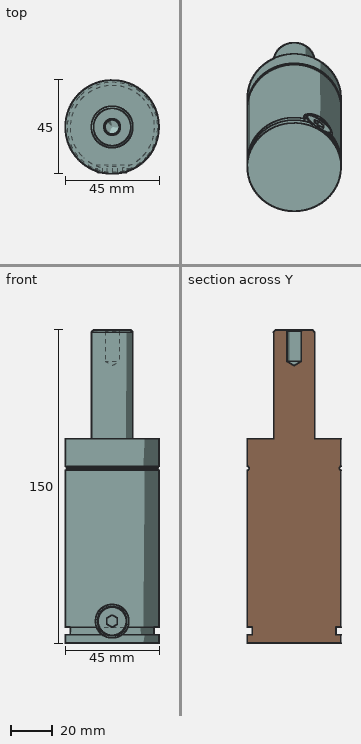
import cadquery as cq
import math

total_height = 150.0
body_radius = 22.5
body_height = 98.0

base_groove_bottom = 4.0
base_groove_top = 7.6
base_groove_radius = 20.1

head_groove_bottom = 82.6
head_groove_top = 84.8
head_groove_depth = 0.9

rod_radius = 20.0 / 2
rod_chamfer = 1.0
hole_radius = 6.8 / 2
hole_mouth_radius = 8.0 / 2
hole_depth = 15.0
drill_point_angle = 118.0

plug_height = 10.5
plug_radius = 7.0
plug_chamfer = 0.3
plug_face_offset = 21.9
plug_recess_radius = 16.0 / 2
plug_recess_floor = 18.0
plug_root_offset = 15.0
hex_across_flats = 5.1
hex_depth = 3.0


def front_plane(distance):
    """Plane facing -Y, centred on the plug axis, at a distance from the body axis."""
    return cq.Workplane("XZ", origin=(0, -distance, plug_height))


def make_body_and_rod():
    head_groove_radius = body_radius - head_groove_depth
    profile = [
        (0, 0),
        (body_radius, 0),
        (body_radius, base_groove_bottom),
        (base_groove_radius, base_groove_bottom),
        (base_groove_radius, base_groove_top),
        (body_radius, base_groove_top),
        (body_radius, head_groove_bottom),
        (head_groove_radius, head_groove_bottom + head_groove_depth),
        (head_groove_radius, head_groove_top - head_groove_depth),
        (body_radius, head_groove_top),
        (body_radius, body_height),
        (rod_radius, body_height),
        (rod_radius, total_height - rod_chamfer),
        (rod_radius - rod_chamfer, total_height),
        (0, total_height),
    ]
    return cq.Workplane("XZ").polyline(profile).close().revolve(360, (0, 0), (0, 1))


def make_rod_hole():
    mouth_depth = hole_mouth_radius - hole_radius
    point_length = hole_radius / math.tan(math.radians(drill_point_angle / 2))
    shoulder = total_height - hole_depth
    profile = [
        (0, total_height),
        (hole_mouth_radius, total_height),
        (hole_radius, total_height - mouth_depth),
        (hole_radius, shoulder),
        (0, shoulder - point_length),
    ]
    return cq.Workplane("XZ").polyline(profile).close().revolve(360, (0, 0), (0, 1))


def make_plug_recess():
    return front_plane(plug_recess_floor).circle(plug_recess_radius).extrude(body_radius - plug_recess_floor)


def make_plug():
    plug = front_plane(plug_root_offset).circle(plug_radius).extrude(plug_face_offset - plug_root_offset)
    return plug.faces("<Y").chamfer(plug_chamfer)


def make_hex_socket():
    hex_across_corners = hex_across_flats / math.cos(math.radians(30))
    return (
        front_plane(plug_face_offset)
        .transformed(rotate=(0, 0, 90))
        .polygon(6, hex_across_corners)
        .extrude(-hex_depth)
    )


result = make_body_and_rod().cut(make_rod_hole())
result = result.cut(make_plug_recess()).union(make_plug()).cut(make_hex_socket())